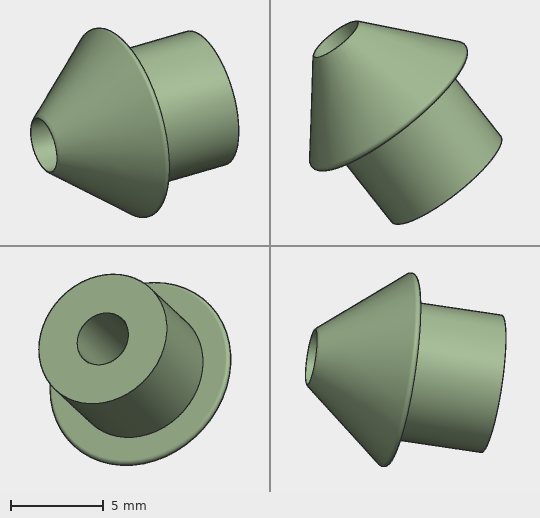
import cadquery as cq
import math

rim_radius = 5.28
total_length = 9.94
shank_radius = 3.75
shank_length = 5.0
bore_radius = 1.5

rim_round = 0.2
cone_half_angle = math.radians(38.7)
tip_edge_length = 0.13

tip_y = shank_length - total_length

rim_centre_radius = rim_radius - rim_round
rim_centre_y = -rim_round


def point_on_rim(angle):
    """Return (radius, y) on the rim arc, with the angle measured from the radial direction."""
    return (
        rim_centre_radius + rim_round * math.cos(angle),
        rim_centre_y + rim_round * math.sin(angle),
    )


shoulder_angle = math.pi / 2
rim_arc_middle = point_on_rim((shoulder_angle - cone_half_angle) / 2)
cone_start_radius, cone_start_y = point_on_rim(-cone_half_angle)

cone_end_y = tip_y + tip_edge_length
cone_end_radius = cone_start_radius - (cone_start_y - cone_end_y) * math.tan(cone_half_angle)

half_section = (
    cq.Workplane("XY")
    .moveTo(bore_radius, shank_length)
    .lineTo(shank_radius, shank_length)
    .lineTo(shank_radius, 0)
    .lineTo(rim_centre_radius, 0)
    .threePointArc(rim_arc_middle, (cone_start_radius, cone_start_y))
    .lineTo(cone_end_radius, cone_end_y)
    .tangentArcPoint((bore_radius, tip_y), relative=False)
    .close()
)

result = half_section.revolve(360, (0, 0, 0), (0, 1, 0))